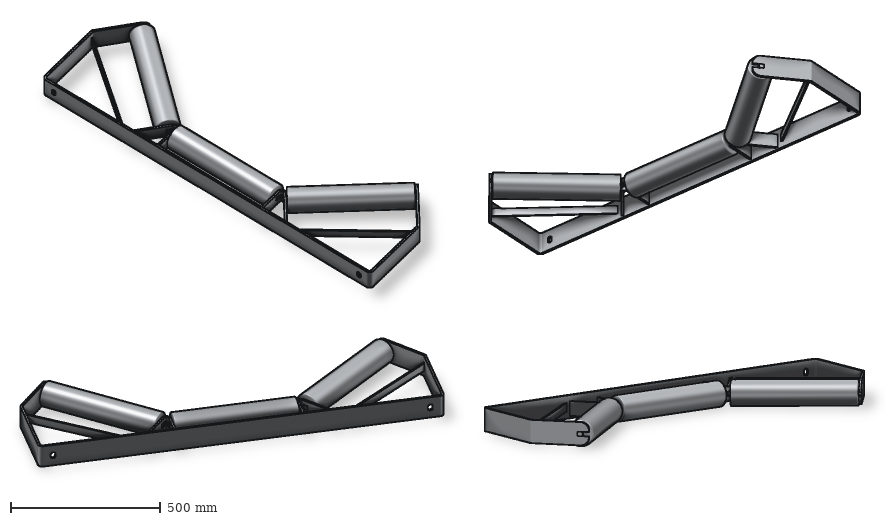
import cadquery as cq
import math

FRAME_LENGTH = 1400.0
FRAME_HEIGHT = 80.0
BAR_THICKNESS = 8.0
BEND_INNER_RADIUS = 8.0
BEND_OUTER_RADIUS = BEND_INNER_RADIUS + BAR_THICKNESS
ARM_TIP_REACH = 31.0
ARM_CORNER_RADIUS = 28.0

MOUNT_SLOT_X = 651.0
MOUNT_SLOT_WIDTH = 17.0
MOUNT_SLOT_HEIGHT = 24.0

DRUM_LENGTH = 430.0
DRUM_DIAMETER = 90.0
DRUM_EDGE_RADIUS = 4.0
DRUM_GAP = 3.0
SHAFT_DIAMETER = 20.0
SHAFT_FLAT_WIDTH = 15.0
SHAFT_LENGTH = DRUM_LENGTH + 2 * (DRUM_GAP + BAR_THICKNESS)
SEAT_SPAN = SHAFT_LENGTH + BAR_THICKNESS
SEAT_DEPTH = DRUM_DIAMETER / 2

LOW_AXIS_Z = 34.0
HIGH_AXIS_Z = 39.0
CENTRE_ROLLER_Y = 102.0
SIDE_ROLLER_X = 419.0
SIDE_ROLLER_Y = 253.0
TROUGH_ANGLE = math.radians(40)
DROP_ANGLE = math.asin((HIGH_AXIS_Z - LOW_AXIS_Z) / DRUM_LENGTH)

BRACKET_HEIGHT = 50.0

STRUT_THICKNESS = 5.0
STRUT_HEIGHT = 30.0
STRUT_BASE_X = 354.0
STRUT_SIDE_Y = 263.0

SIDES = (1, -1)
HALF_LENGTH = FRAME_LENGTH / 2
CARRIER_OFFSET = DRUM_LENGTH / 2 + DRUM_GAP
AXIS_DIRECTION = (math.cos(TROUGH_ANGLE), math.sin(TROUGH_ANGLE))
ACROSS_DIRECTION = (-math.sin(TROUGH_ANGLE), math.cos(TROUGH_ANGLE))

CENTRE_ROLLER_PLANE = cq.Plane(
    origin=(0, CENTRE_ROLLER_Y, LOW_AXIS_Z), xDir=(0, 1, 0), normal=(1, 0, 0)
)
SIDE_ROLLER_PLANE = cq.Plane(
    origin=(SIDE_ROLLER_X, SIDE_ROLLER_Y, (LOW_AXIS_Z + HIGH_AXIS_Z) / 2),
    xDir=(*ACROSS_DIRECTION, 0),
    normal=(
        AXIS_DIRECTION[0] * math.cos(DROP_ANGLE),
        AXIS_DIRECTION[1] * math.cos(DROP_ANGLE),
        math.sin(DROP_ANGLE),
    ),
)


def on_side(body, side):
    """Return a right-hand body (side 1) or its left-hand mirror image (side -1)."""
    return body if side == 1 else body.mirror("YZ")


def side_roller_point(along, across):
    """Point in the XY plane, measured along and across the right-hand roller axis."""
    return (
        SIDE_ROLLER_X + along * AXIS_DIRECTION[0] + across * ACROSS_DIRECTION[0],
        SIDE_ROLLER_Y + along * AXIS_DIRECTION[1] + across * ACROSS_DIRECTION[1],
    )


def along_at_x(along, x):
    """Point at the given x on the line square to the roller axis at that distance along it."""
    start = side_roller_point(along, 0)
    return side_roller_point(along, (x - start[0]) / ACROSS_DIRECTION[0])


def inset_path(path, distance):
    """Shift an open path to its left, with mitred corners and square ends."""
    headings = [math.atan2(b[1] - a[1], b[0] - a[0]) for a, b in zip(path, path[1:])]
    shifted = []
    for i, (x, y) in enumerate(path):
        before = headings[max(i - 1, 0)]
        after = headings[min(i, len(headings) - 1)]
        half_turn = math.remainder(after - before, 2 * math.pi) / 2
        normal = before + half_turn + math.pi / 2
        reach = distance / math.cos(half_turn)
        shifted.append((x + reach * math.cos(normal), y + reach * math.sin(normal)))
    return shifted


def bent_bar(outer_path, height):
    """Bar standing on the XY plane, bent along a left-turning path that marks its outer face."""
    inner_path = inset_path(outer_path, BAR_THICKNESS)
    bar = cq.Workplane("XY").polyline(outer_path + inner_path[::-1]).close().extrude(height)
    for path, radius in ((outer_path, BEND_OUTER_RADIUS), (inner_path, BEND_INNER_RADIUS)):
        for x, y in path[1:-1]:
            edge = cq.selectors.NearestToPointSelector((x, y, height / 2))
            bar = bar.edges("|Z").edges(edge).fillet(radius)
    return bar


def flatted_shaft(plane, length):
    """Round bar with two flats, centred on the plane and running along its normal."""
    flats = cq.Workplane(plane).box(SHAFT_DIAMETER, SHAFT_FLAT_WIDTH, length)
    return cq.Workplane(plane).cylinder(length, SHAFT_DIAMETER / 2).intersect(flats)


def shaft_seat(plane):
    """Cutter for the open-topped seats that hold both ends of a roller shaft."""
    opening = cq.Workplane(plane).box(
        SEAT_DEPTH, SHAFT_FLAT_WIDTH, SEAT_SPAN, centered=(False, True, True)
    )
    return flatted_shaft(plane, SEAT_SPAN).union(opening)


def make_roller(plane):
    """Drum with rounded ends on a flatted shaft whose ends lie flush with the bars."""
    drum = (
        cq.Workplane(plane)
        .cylinder(DRUM_LENGTH, DRUM_DIAMETER / 2)
        .edges("%CIRCLE")
        .fillet(DRUM_EDGE_RADIUS)
    )
    return drum.union(flatted_shaft(plane, SHAFT_LENGTH))


def make_frame():
    """Bent bar with mounting slots in its base and a shaft seat in each arm tip."""
    arm_outer_face = CARRIER_OFFSET + BAR_THICKNESS
    right_path = [
        (HALF_LENGTH, 0),
        along_at_x(arm_outer_face, HALF_LENGTH),
        side_roller_point(arm_outer_face, ARM_TIP_REACH),
    ]
    left_path = [(-x, y) for x, y in reversed(right_path)]
    frame = bent_bar(left_path + right_path, FRAME_HEIGHT)

    tip_x, tip_y = right_path[-1]
    for side in SIDES:
        for z in (0, FRAME_HEIGHT):
            corner = cq.selectors.NearestToPointSelector((side * tip_x, tip_y, z))
            frame = frame.edges(corner).fillet(ARM_CORNER_RADIUS)

    mount_slots = (
        cq.Workplane("XZ", origin=(0, 0, FRAME_HEIGHT / 2))
        .pushPoints([(side * MOUNT_SLOT_X, 0) for side in SIDES])
        .slot2D(MOUNT_SLOT_HEIGHT, MOUNT_SLOT_WIDTH, 90)
        .extrude(-BAR_THICKNESS)
    )
    frame = frame.cut(mount_slots)
    for side in SIDES:
        frame = frame.cut(on_side(shaft_seat(SIDE_ROLLER_PLANE), side))
    return frame


def make_bracket(side):
    """Bar folded back on itself to carry the ends of two neighbouring rollers."""
    slanted_foot_reach = side_roller_point(-CARRIER_OFFSET, 0)[1] / ACROSS_DIRECTION[1]
    path = [
        side_roller_point(-CARRIER_OFFSET, -slanted_foot_reach - BAR_THICKNESS),
        along_at_x(-CARRIER_OFFSET, CARRIER_OFFSET),
        (CARRIER_OFFSET, 0),
    ]
    below_base_top = cq.Workplane("XY", origin=(0, BAR_THICKNESS - FRAME_HEIGHT / 2, 0)).box(
        FRAME_LENGTH, FRAME_HEIGHT, 2 * FRAME_HEIGHT
    )
    bracket = (
        bent_bar(path, BRACKET_HEIGHT)
        .translate((0, 0, LOW_AXIS_Z - BRACKET_HEIGHT / 2))
        .cut(below_base_top)
        .cut(shaft_seat(SIDE_ROLLER_PLANE))
        .cut(shaft_seat(CENTRE_ROLLER_PLANE))
    )
    return on_side(bracket, side)


def make_strut(side):
    """Thin bar from the base to the side of the frame, its ends cut to lie against both."""
    side_x = HALF_LENGTH - BAR_THICKNESS
    slope = math.atan2(STRUT_SIDE_Y - BAR_THICKNESS, side_x - STRUT_BASE_X)
    outline = [
        (STRUT_BASE_X, BAR_THICKNESS),
        (side_x, STRUT_SIDE_Y),
        (side_x, STRUT_SIDE_Y - STRUT_THICKNESS / math.cos(slope)),
        (STRUT_BASE_X + STRUT_THICKNESS / math.sin(slope), BAR_THICKNESS),
    ]
    strut = (
        cq.Workplane("XY", origin=(0, 0, (FRAME_HEIGHT - STRUT_HEIGHT) / 2))
        .polyline(outline)
        .close()
        .extrude(STRUT_HEIGHT)
    )
    return on_side(strut, side)


frame = make_frame()
brackets = [make_bracket(side) for side in SIDES]
struts = [make_strut(side) for side in SIDES]
centre_roller = make_roller(CENTRE_ROLLER_PLANE)
side_rollers = [on_side(make_roller(SIDE_ROLLER_PLANE), side) for side in SIDES]

bodies = [frame, *brackets, *struts, centre_roller, *side_rollers]
result = cq.Compound.makeCompound([body.val() for body in bodies])